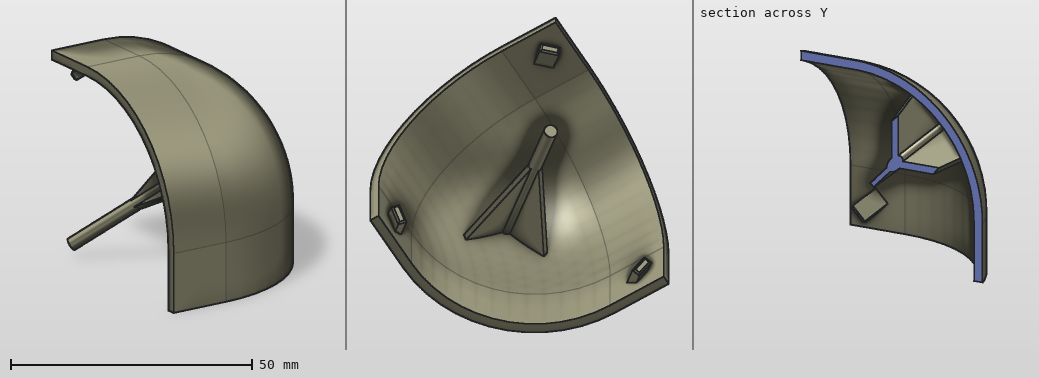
import cadquery as cq
import math

size = 45.0
wall = 2.02
outer_radius = 31.95
inner_size = size - wall
inner_radius = outer_radius - wall
round_center = size - outer_radius

rod_diameter = 2.8
rod_start = 5.15

repeat_count = 3

rib_thickness = 1.2
rib_start = 17.32
rib_angle = 16.5

tab_start = 27.05
tab_length = 6.75
tab_width = 4.15
tab_thickness = 1.9
tab_inner_offset = 29.0
tab_chamfer = 0.4

diagonal_to_center = round_center * math.sqrt(3)
mid_wall_radius = outer_radius - wall / 2
rod_end = diagonal_to_center + mid_wall_radius

diagonal_plane = cq.Plane(origin=(0, 0, 0), xDir=(-1, -1, 2), normal=(1, 1, 1))


def rounded_corner(side, radius):
    """Cube from the origin with the three edges at its far corner rounded."""
    cube = cq.Workplane("XY").box(side, side, side, centered=False)
    far_edges = cube.faces(">Z").edges(">X or >Y").add(cube.edges(">X and >Y"))
    return far_edges.fillet(radius)


def make_rod():
    start = cq.Workplane(diagonal_plane).workplane(offset=rod_start)
    return start.circle(rod_diameter / 2).extrude(rod_end - rod_start)


def make_rib():
    """Rib towards +Z, widening from the rod until it meets the shell."""
    rib_reach = (rod_end - rib_start) * math.tan(math.radians(rib_angle))
    rib = (
        cq.Workplane(diagonal_plane)
        .transformed(rotate=(90, 0, 0))
        .moveTo(0, rib_start)
        .lineTo(rib_reach, rod_end)
        .lineTo(0, rod_end)
        .close()
        .extrude(rib_thickness / 2, both=True)
    )
    limit = cq.Workplane("XY").sphere(mid_wall_radius)
    return rib.intersect(limit.translate((round_center, round_center, round_center)))


def make_tab():
    """Chamfered bar running into the top wall."""
    tab = cq.Workplane("XY").box(tab_thickness, tab_width, tab_length, centered=(False, True, False))
    tab = tab.faces("<Z").chamfer(tab_chamfer)
    tab = tab.translate((tab_inner_offset, 0, tab_start))
    return cq.Workplane(tab.val().moved(cq.Location(diagonal_plane)))


def around_diagonal(body, index):
    return body.rotate((0, 0, 0), (1, 1, 1), 360 / repeat_count * index)


result = rounded_corner(size, outer_radius).cut(rounded_corner(inner_size, inner_radius))
result = result.union(make_rod())
rib = make_rib()
tab = make_tab()
for index in range(repeat_count):
    result = result.union(around_diagonal(rib, index))
    result = result.union(around_diagonal(tab, index))